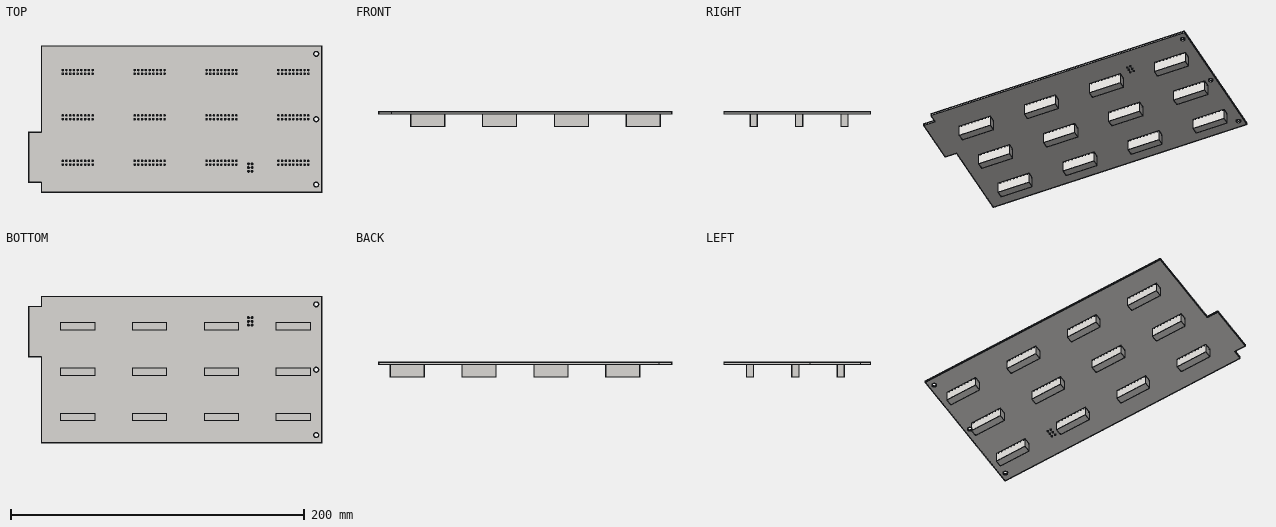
import cadquery as cq

overall_length = 199.9
board_width = 100.0
board_thickness = 1.5
tab_length = 8.5
tab_width = 34.4
tab_start_y = 6.8

mounting_diameter = 3.2
mounting_edge_distance = 3.8
mounting_pitch = 44.5

connector_columns = 4
connector_rows = 3
connector_span_x = 147.1
connector_span_y = 62.0
connector_pitch_x = connector_span_x / (connector_columns - 1)
connector_pitch_y = connector_span_y / (connector_rows - 1)
first_connector_x = 33.4
connector_length = 23.4
connector_width = 5.0
first_connector_edge_y = 17.8
first_connector_y = first_connector_edge_y + connector_width / 2
connector_height = 8.5

connector_pin_diameter = 1.02
connector_pins_x = 9
connector_pins_y = 2
pin_row_length = 20.4
pin_pitch = pin_row_length / (connector_pins_x - 1)

header_pin_diameter = 1.04
header_pins_x = 2
header_pins_y = 3
header_x = 151.1
header_y = 17.0

board_top = connector_height + board_thickness
connector_centers = [
    (first_connector_x + column * connector_pitch_x, first_connector_y + row * connector_pitch_y)
    for column in range(connector_columns)
    for row in range(connector_rows)
]


def board():
    main_length = overall_length - tab_length
    main = cq.Workplane("XY").box(main_length, board_width, board_thickness, centered=False)
    main = main.translate((tab_length, 0, connector_height))
    tab = cq.Workplane("XY").box(tab_length, tab_width, board_thickness, centered=False)
    return main.union(tab.translate((0, tab_start_y, connector_height)))


def connector_blocks():
    return (
        cq.Workplane("XY")
        .pushPoints(connector_centers)
        .rect(connector_length, connector_width)
        .extrude(connector_height)
    )


def pin_points(center, count_x, count_y):
    """Hole centres of a pin grid around a centre."""
    return [
        (
            center[0] + (i - (count_x - 1) / 2) * pin_pitch,
            center[1] + (j - (count_y - 1) / 2) * pin_pitch,
        )
        for i in range(count_x)
        for j in range(count_y)
    ]


def board_drills(points, diameter):
    """Cylinders as deep as the board is thick."""
    return (
        cq.Workplane("XY", origin=(0, 0, board_top))
        .pushPoints(points)
        .circle(diameter / 2)
        .extrude(-board_thickness)
    )


mounting_points = [
    (overall_length - mounting_edge_distance, board_width / 2 + step * mounting_pitch)
    for step in (-1, 0, 1)
]
connector_pin_points = [
    point
    for center in connector_centers
    for point in pin_points(center, connector_pins_x, connector_pins_y)
]
header_pin_points = pin_points((header_x, header_y), header_pins_x, header_pins_y)

drilled_board = (
    board()
    .cut(board_drills(mounting_points, mounting_diameter))
    .cut(board_drills(connector_pin_points, connector_pin_diameter))
    .cut(board_drills(header_pin_points, header_pin_diameter))
)
result = drilled_board.union(connector_blocks())